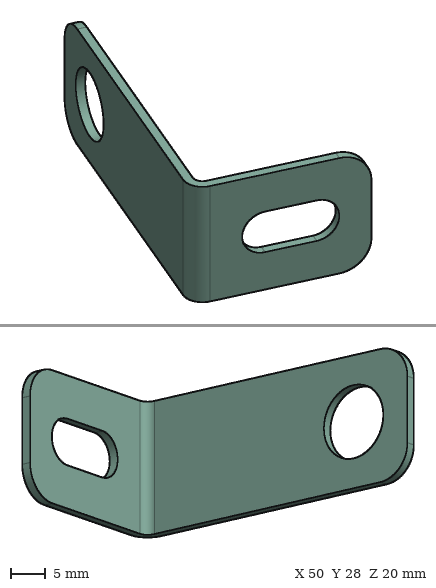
import cadquery as cq

length = 50.0
depth = 28.0
height = 20.0
thickness = 1.5

inner_bend_radius = 1.5
outer_bend_radius = inner_bend_radius + thickness

corner_radius = 5.0

hole_diameter = 11.0
hole_end_distance = 10.0

slot_length = 15.0
slot_width = 7.0
slot_end_margin = 5.0
slot_center_y = depth - slot_end_margin - slot_length / 2

mid_height = height / 2


def bent_sheet():
    """L-shaped sheet with a rounded bend and rounded free ends."""
    long_leg = cq.Workplane("XY").box(length, thickness, height, centered=False)
    short_leg = (
        cq.Workplane("XY")
        .box(thickness, depth, height, centered=False)
        .translate((length - thickness, 0, 0))
    )
    inside_corner = cq.selectors.NearestToPointSelector((length - thickness, thickness, mid_height))
    outside_corner = cq.selectors.NearestToPointSelector((length, 0, mid_height))
    return (
        long_leg.union(short_leg)
        .edges(inside_corner).fillet(inner_bend_radius)
        .edges(outside_corner).fillet(outer_bend_radius)
        .faces("<X").edges("|Y").fillet(corner_radius)
        .faces(">Y").edges("|X").fillet(corner_radius)
    )


def round_hole():
    """Cutter through the long leg, along Y."""
    return (
        cq.Workplane("XZ")
        .center(hole_end_distance, mid_height)
        .circle(hole_diameter / 2)
        .extrude(-thickness)
    )


def slot():
    """Cutter through the short leg, along X."""
    return (
        cq.Workplane("YZ", origin=(length - thickness, 0, 0))
        .center(slot_center_y, mid_height)
        .slot2D(slot_length, slot_width)
        .extrude(thickness)
    )


result = bent_sheet().cut(round_hole()).cut(slot())